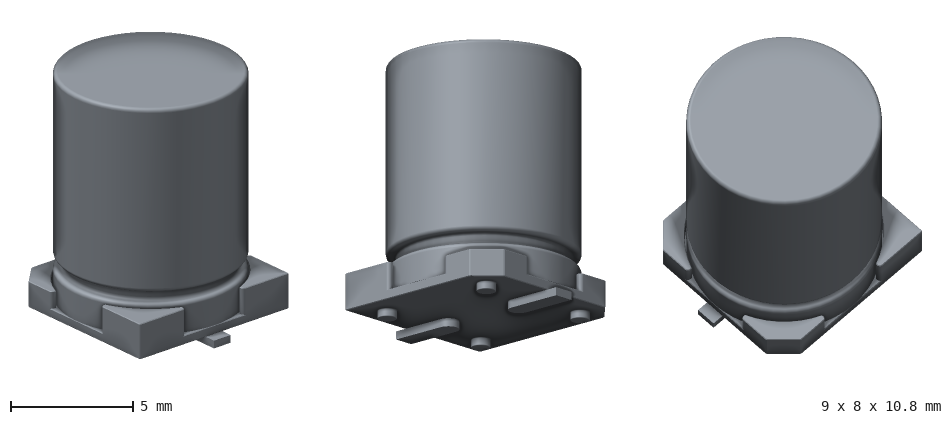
import cadquery as cq
import math

total_height = 10.8
can_radius = 4.001
base_width = 2 * can_radius

standoff = 0.35
terminal_span = 9.0
terminal_width = 0.9
terminal_gap = 3.07
pin_diameter = 0.8
pin_offset = 2.79

floor_z = 0.75
low_block_z = 1.51
tall_block_z = 1.93
corner_cut = 1.0
edge_break = 0.03
pocket_radius = 4.07
window_width = 3.09
tip_radius = 0.15
cutter_z = floor_z - edge_break

neck_radius = 7.2 / 2
top_round = 0.17
foot_round = 0.17
foot_top_z = 2.11
lower_neck_round = 0.15
barrel_bottom_z = 2.61
barrel_bottom_round = 0.18
upper_neck_round = 0.11

tolerance = 0.005


def at_height(z, reach=base_width):
    """Selector for whatever lies flat at height z within the given distance of the axis."""
    return cq.selectors.BoxSelector(
        (-reach, -reach, z - tolerance),
        (reach, reach, z + tolerance),
        boundingbox=True,
    )


def base_prism(top_z):
    """Square base with two cut corners, its bottom and corner edges broken."""
    return (
        cq.Workplane("XY")
        .workplane(offset=standoff)
        .rect(base_width, base_width)
        .extrude(top_z - standoff)
        .edges("|Z and <X")
        .chamfer(corner_cut)
        .edges("|Z")
        .chamfer(edge_break)
        .faces("<Z")
        .edges()
        .chamfer(edge_break)
    )


def break_top_edges(body, top_z):
    """Chamfer around every flat top face at the given height."""
    return body.faces(at_height(top_z)).edges().chamfer(edge_break)


def window_cutter():
    """Slot between the blocks along Y that flares out at both faces, leaving rounded block tips."""
    half_width = window_width / 2
    half_length = base_width / 2
    flare_start = half_length - tip_radius
    flared_half_width = half_width + tip_radius
    arc_drop = tip_radius * (1 - math.sqrt(0.5))
    arc_x = half_width + arc_drop
    arc_y = half_length - arc_drop
    return (
        cq.Workplane("XY")
        .workplane(offset=cutter_z)
        .moveTo(half_width, -flare_start)
        .lineTo(half_width, flare_start)
        .threePointArc((arc_x, arc_y), (flared_half_width, half_length))
        .lineTo(-flared_half_width, half_length)
        .threePointArc((-arc_x, arc_y), (-half_width, flare_start))
        .lineTo(-half_width, -flare_start)
        .threePointArc((-arc_x, -arc_y), (-flared_half_width, -half_length))
        .lineTo(flared_half_width, -half_length)
        .threePointArc((arc_x, -arc_y), (half_width, -flare_start))
        .close()
        .extrude(total_height)
    )


def make_blocks():
    """Corner blocks that hold the can: low at the cut corners, tall at the square ones."""
    tall_side = cq.Workplane("XY").box(
        base_width, 2 * base_width, total_height, centered=(False, True, False)
    )
    blocks = base_prism(low_block_z).union(base_prism(tall_block_z).intersect(tall_side))
    pocket = cq.Workplane("XY").workplane(offset=cutter_z).circle(pocket_radius).extrude(total_height)
    window = window_cutter()
    crossing_window = window.rotate((0, 0, 0), (0, 0, 1), 90)
    blocks = blocks.cut(pocket).cut(window).cut(crossing_window)
    return break_top_edges(break_top_edges(blocks, low_block_z), tall_block_z)


def make_pins():
    """Four round standoff pins with rounded tips."""
    return (
        cq.Workplane("XY")
        .rect(2 * pin_offset, 2 * pin_offset, forConstruction=True)
        .vertices()
        .circle(pin_diameter / 2)
        .extrude(standoff)
        .faces("<Z")
        .edges()
        .fillet(edge_break)
    )


def make_base():
    """Floor plate, corner blocks and pins, with a small fillet at each pin root."""
    plate = break_top_edges(base_prism(floor_z), floor_z)
    base = plate.union(make_blocks()).union(make_pins())
    return base.edges("%CIRCLE").edges(at_height(standoff)).fillet(edge_break)


def make_can():
    """Round can with a rolled neck groove near its foot."""
    foot = cq.Workplane("XY").workplane(offset=floor_z).circle(can_radius).extrude(foot_top_z - floor_z)
    foot = foot.faces(">Z").edges().fillet(foot_round)
    barrel = (
        cq.Workplane("XY")
        .workplane(offset=barrel_bottom_z)
        .circle(can_radius)
        .extrude(total_height - barrel_bottom_z)
        .faces("<Z")
        .edges()
        .fillet(barrel_bottom_round)
        .faces(">Z")
        .edges()
        .fillet(top_round)
    )
    neck_height = barrel_bottom_z - floor_z
    neck = cq.Workplane("XY").workplane(offset=floor_z).circle(neck_radius).extrude(neck_height)
    can = foot.union(neck).union(barrel)
    neck_reach = neck_radius + tolerance
    can = can.edges(at_height(barrel_bottom_z, neck_reach)).fillet(upper_neck_round)
    return can.edges(at_height(foot_top_z, neck_reach)).fillet(lower_neck_round)


def make_terminals():
    """Two flat terminals under the base with half-round inner ends."""
    length = (terminal_span - terminal_gap) / 2
    end_radius = terminal_width / 2
    straight = length - end_radius
    terminals = cq.Workplane("XY")
    for side in (-1, 1):
        outer_x = side * terminal_span / 2
        end_x = side * (terminal_gap / 2 + end_radius)
        middle_x = (outer_x + end_x) / 2
        bar = cq.Workplane("XY").center(middle_x, 0).rect(straight, terminal_width).extrude(standoff)
        end = cq.Workplane("XY").center(end_x, 0).circle(end_radius).extrude(standoff)
        terminals = terminals.union(bar).union(end)
    return terminals


result = make_base().union(make_can()).union(make_terminals())